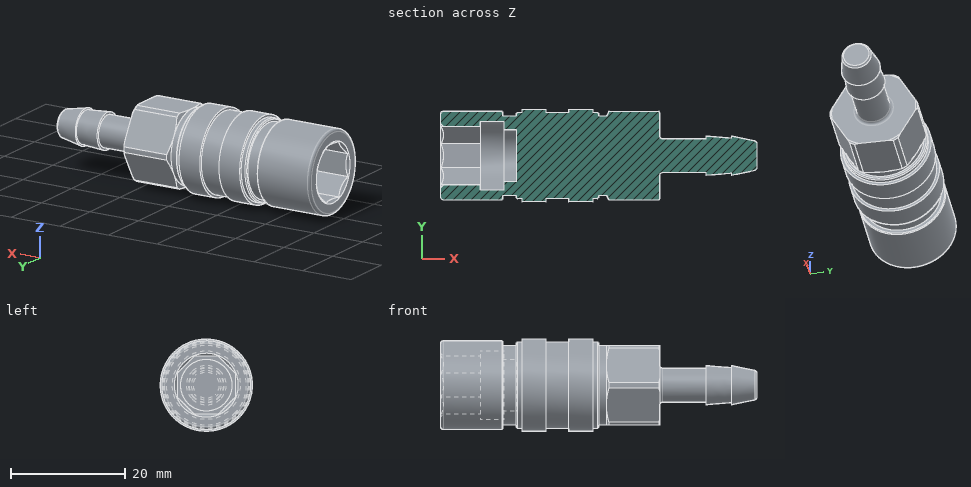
import cadquery as cq
import math

TOTAL_LENGTH = 55.5

HEAD_DIAMETER = 15.6
HEAD_LENGTH = 10.95
MOUTH_FILLET = 0.5
HEAD_REAR_CHAMFER = 0.15

NECK_DIAMETER = 14.0
SLEEVE_DIAMETER = 15.2
SLEEVE_START = 13.25
SLEEVE_END = 27.75
SLEEVE_CHAMFER = 0.2
COLLAR_DIAMETER = 16.2
COLLAR_WIDTH = 4.3
COLLAR_INSET = 1.0

HEX_FLATS = 14.0
HEX_CORNER_DIAMETER = 15.6
HEX_START = 29.1
HEX_END = 38.45
HEX_FRONT_CHAMFER_DIAMETER = 14.0
HEX_FRONT_CHAMFER_LENGTH = 0.45
HEX_REAR_CHAMFER_DIAMETER = 15.0
HEX_REAR_CHAMFER_LENGTH = 0.15

STEM_DIAMETER = 6.0
STEM_FILLET = 0.5
BARB_DIAMETER = 6.95
BARB_ROOT_DIAMETER = 6.2
BARB_LENGTH = 4.5
BARB_START = 46.5
TIP_DIAMETER = 5.2
TIP_CHAMFER = 0.35

OCTAGON_FLATS = 10.15
LEAD_IN_DIAMETER = 11.2
LEAD_IN_LENGTH = 1.1
OCTAGON_DEPTH = 7.0
CHAMBER_DIAMETER = 12.0
CHAMBER_DEPTH = 11.1
BORE_DIAMETER = 9.05
BORE_DEPTH = 13.3


def cylinder(diameter, start, end):
    """Solid cylinder along X between two stations."""
    return cq.Workplane("YZ", origin=(start, 0, 0)).circle(diameter / 2).extrude(end - start)


def polygon_prism(sides, flats, start, end):
    """Regular prism along X with flats facing +Z and -Z."""
    corner_diameter = flats / math.cos(math.pi / sides)
    turn = 90 - 180 / sides
    prism = cq.Workplane("YZ").polygon(sides, corner_diameter).extrude(end - start)
    return prism.rotate((0, 0, 0), (1, 0, 0), turn).translate((start, 0, 0))


def revolved(points):
    """Solid of revolution about X from (station, radius) points."""
    return cq.Workplane("XY").polyline(points).close().revolve(360, (0, 0, 0), (1, 0, 0))


def make_head():
    head = cylinder(HEAD_DIAMETER, 0, HEAD_LENGTH)
    head = head.faces("<X").edges().fillet(MOUTH_FILLET)
    return head.faces(">X").edges().chamfer(HEAD_REAR_CHAMFER)


def make_sleeve():
    sleeve = cylinder(SLEEVE_DIAMETER, SLEEVE_START, SLEEVE_END)
    sleeve = sleeve.faces("<X or >X").edges().chamfer(SLEEVE_CHAMFER)
    front_collar = SLEEVE_START + COLLAR_INSET
    rear_collar = SLEEVE_END - COLLAR_INSET - COLLAR_WIDTH
    for start in (front_collar, rear_collar):
        sleeve = sleeve.union(cylinder(COLLAR_DIAMETER, start, start + COLLAR_WIDTH))
    return sleeve


def make_hexagon():
    envelope = revolved([
        (HEX_START, 0),
        (HEX_START, HEX_FRONT_CHAMFER_DIAMETER / 2),
        (HEX_START + HEX_FRONT_CHAMFER_LENGTH, HEX_CORNER_DIAMETER / 2),
        (HEX_END - HEX_REAR_CHAMFER_LENGTH, HEX_CORNER_DIAMETER / 2),
        (HEX_END, HEX_REAR_CHAMFER_DIAMETER / 2),
        (HEX_END, 0),
    ])
    return polygon_prism(6, HEX_FLATS, HEX_START, HEX_END).intersect(envelope)


def make_hose_tail():
    stem_radius = STEM_DIAMETER / 2
    fillet_end = HEX_END + STEM_FILLET
    diagonal = STEM_FILLET * math.sqrt(0.5)
    fillet_middle = (fillet_end - diagonal, stem_radius + STEM_FILLET - diagonal)
    second_barb = BARB_START + BARB_LENGTH
    profile = (
        cq.Workplane("XY")
        .moveTo(HEX_END, 0)
        .lineTo(HEX_END, stem_radius + STEM_FILLET)
        .threePointArc(fillet_middle, (fillet_end, stem_radius))
        .lineTo(BARB_START, stem_radius)
        .lineTo(BARB_START, BARB_DIAMETER / 2)
        .lineTo(second_barb, BARB_ROOT_DIAMETER / 2)
        .lineTo(second_barb, BARB_DIAMETER / 2)
        .lineTo(TOTAL_LENGTH - TIP_CHAMFER, TIP_DIAMETER / 2)
        .lineTo(TOTAL_LENGTH, TIP_DIAMETER / 2 - TIP_CHAMFER)
        .lineTo(TOTAL_LENGTH, 0)
        .close()
    )
    return profile.revolve(360, (0, 0, 0), (1, 0, 0))


def make_socket():
    octagon = polygon_prism(8, OCTAGON_FLATS, 0, OCTAGON_DEPTH)
    chamber = cylinder(CHAMBER_DIAMETER, OCTAGON_DEPTH, CHAMBER_DEPTH)
    bore = cylinder(BORE_DIAMETER, 0, BORE_DEPTH)
    lead_in = revolved([
        (0, 0),
        (0, LEAD_IN_DIAMETER / 2),
        (LEAD_IN_LENGTH, BORE_DIAMETER / 2),
        (LEAD_IN_LENGTH, 0),
    ])
    return octagon.union(chamber).union(bore).union(lead_in)


neck = cylinder(NECK_DIAMETER, HEAD_LENGTH, HEX_START)
body = make_head().union(neck).union(make_sleeve())
body = body.union(make_hexagon()).union(make_hose_tail())
result = body.cut(make_socket())